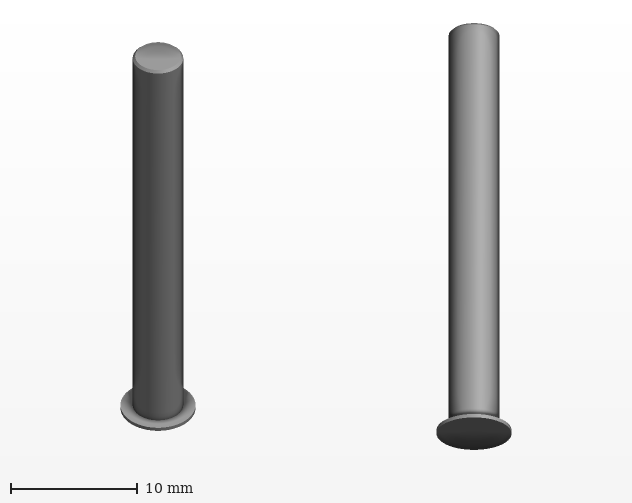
import cadquery as cq

total_height = 35.0
pin_diameter = 4.0
flange_diameter = 5.9
flange_thickness = 0.3
tip_chamfer = 0.2

flange = cq.Workplane("XY").circle(flange_diameter / 2).extrude(flange_thickness)

pin = (
    cq.Workplane("XY")
    .circle(pin_diameter / 2)
    .extrude(total_height)
    .faces(">Z")
    .chamfer(tip_chamfer)
)

result = flange.union(pin)